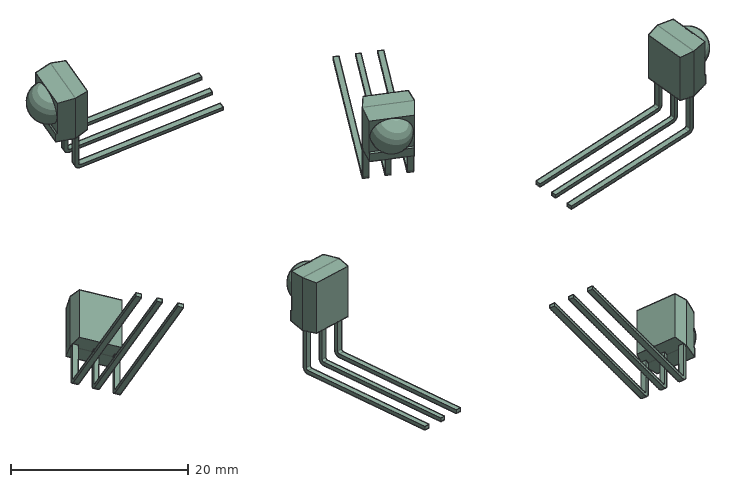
import cadquery as cq


body_width = 6.0
body_height = 6.9
back_depth = 1.77
face_depth = 2.1
lip_depth = 2.29
side_draft = 0.4
top_draft = 0.15
bottom_draft = 0.19
ledge_drop = 5.28
ledge_slope_height = 0.12

lens_radius = 2.5
lens_drop = 2.69
lens_tip_depth = 4.37

total_length = 23.35
total_height = 12.35
lead_pitch = 2.57
outer_lead_width = 0.7
middle_lead_width = 0.63
lead_thickness = 0.5
bend_radius = 0.75
stem_embed = 0.07


def body_half(depth, draft_depth):
    """Half of the body, from the parting plane to a smaller end face at Y = depth."""
    ratio = abs(depth) / draft_depth
    end_width = body_width - 2 * side_draft * ratio
    end_top = -top_draft * ratio
    end_bottom = -body_height + bottom_draft * ratio
    return (
        cq.Workplane("XZ")
        .center(0, -body_height / 2)
        .rect(body_width, body_height)
        .workplane(offset=-depth)
        .center(0, (end_top + end_bottom + body_height) / 2)
        .rect(end_width, end_top - end_bottom)
        .loft(ruled=True)
    )


def face_recess():
    """Space in front of the lens face, bounded below by the sloping ledge of the lip."""
    return (
        cq.Workplane("YZ")
        .moveTo(-face_depth, 0)
        .lineTo(-face_depth, -ledge_drop)
        .lineTo(-lip_depth, -ledge_drop - ledge_slope_height)
        .lineTo(-lip_depth, 0)
        .close()
        .extrude(body_width / 2, both=True)
    )


def lens():
    """Spherical lens standing out of the body's front face."""
    centre_y = lens_radius - lens_tip_depth
    sphere = cq.Workplane("XY").sphere(lens_radius).translate((0, centre_y, -lens_drop))
    front_space = (
        cq.Workplane("XY")
        .box(body_width, lens_tip_depth, 2 * body_height, centered=(True, False, True))
        .translate((0, -face_depth - lens_tip_depth, 0))
    )
    return sphere.intersect(front_space)


def lead(x, width):
    """Lead with a straight stem, a rounded bend and a long tail towards +Y."""
    bottom = -total_height
    tail_end = total_length - lens_tip_depth
    inner_radius = bend_radius - lead_thickness
    stem_top = -body_height + stem_embed
    return (
        cq.Workplane("YZ")
        .moveTo(0, stem_top)
        .lineTo(0, bottom + bend_radius)
        .radiusArc((bend_radius, bottom), -bend_radius)
        .lineTo(tail_end, bottom)
        .lineTo(tail_end, bottom + lead_thickness)
        .lineTo(bend_radius, bottom + lead_thickness)
        .radiusArc((lead_thickness, bottom + bend_radius), inner_radius)
        .lineTo(lead_thickness, stem_top)
        .close()
        .extrude(width / 2, both=True)
        .translate((x, 0, 0))
    )


body = body_half(back_depth, back_depth).union(body_half(-lip_depth, face_depth))
result = body.cut(face_recess()).union(lens())
for x, width in (
    (-lead_pitch, outer_lead_width),
    (0, middle_lead_width),
    (lead_pitch, outer_lead_width),
):
    result = result.union(lead(x, width))